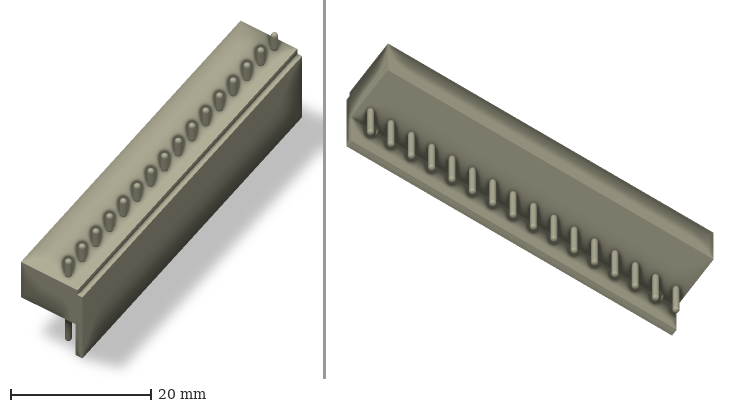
import cadquery as cq

length = 56.0
pin_count = 16
pitch = length / pin_count

depth = 10.6
body_height = 7.45
plate_thickness = 1.2
plate_drop = 6.5
ledge_width = 0.85
ledge_drop = 1.0

pin_diameter = 1.0
pin_x = 7.0
pin_rise = 3.2
pin_end_gap = 0.15
pin_end_radius = 0.45
pin_bottom = -plate_drop + pin_end_gap
pin_length = body_height + pin_rise - pin_bottom

lug_width = 1.0
lug_height = 1.85
lug_depth = 0.85
bulge_diameter = 1.35
lug_y = length / 2 - pitch


def make_housing():
    """Body block with a stepped top corner and a plate hanging along its +X side."""
    plate_x = depth - plate_thickness
    ledge_x = depth - ledge_width
    outline = [
        (0, 0),
        (0, body_height),
        (ledge_x, body_height),
        (ledge_x, body_height - ledge_drop),
        (depth, body_height - ledge_drop),
        (depth, -plate_drop),
        (plate_x, -plate_drop),
        (plate_x, 0),
    ]
    return cq.Workplane("XZ").polyline(outline).close().extrude(length / 2, both=True)


def make_pin(y):
    """Round pin through the body with rounded ends."""
    pin = cq.Workplane("XY", origin=(pin_x, y, pin_bottom)).circle(pin_diameter / 2).extrude(pin_length)
    return pin.faces("|Z").edges().fillet(pin_end_radius)


def make_lug(y):
    """Straight lug under the body with a round bulge at mid-height."""
    lug_start = depth - plate_thickness - lug_depth
    centre = cq.Workplane("YZ", origin=(lug_start, y, -lug_height / 2))
    bar = centre.rect(lug_width, lug_height).extrude(lug_depth)
    bulge = centre.circle(bulge_diameter / 2).extrude(lug_depth)
    return bar.union(bulge)


result = make_housing()
for index in range(pin_count):
    result = result.union(make_pin((index - (pin_count - 1) / 2) * pitch))
for side in (-1, 1):
    result = result.union(make_lug(side * lug_y))